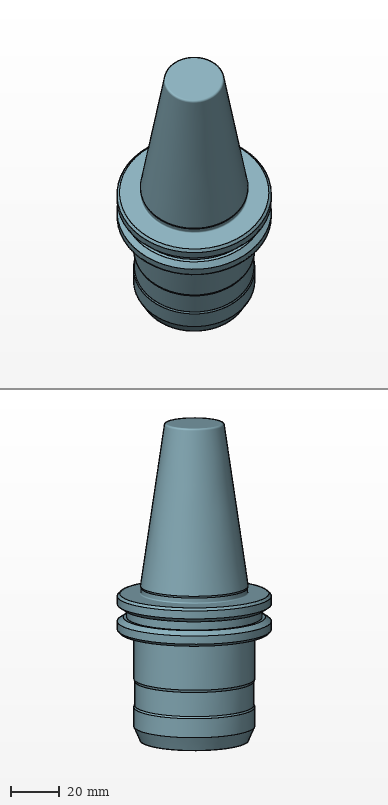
import cadquery as cq


total_height = 132.9
gauge_height = 64.7
gauge_radius = 22.2
taper_ratio = 7 / 24
tip_fillet = 0.9

neck_radius = 21.9
neck_top = 63.9

flange_radius = 31.8
flange_bottom = 45.5
flange_top = 61.5
flange_chamfer = 1.0
flange_corner_fillet = 0.5

groove_center = 53.5
groove_mouth_width = 7.2
groove_inner_width = 3.7
groove_inner_radius = 29.2
groove_floor_radius = 27.9

body_radius = 25.0
nose_radius = 22.3
nose_height = 6.0

relief_radius = 24.6
relief_start = 14.0
relief_floor_start = 14.8
relief_floor_end = 24.9
relief_end = 25.9


def revolve_profile(points):
    """Revolve a closed outline of (radius, height) points about Z."""
    return cq.Workplane("XZ").polyline(points).close().revolve(360, (0, 0, 0), (0, 1, 0))


def make_body():
    """Cylindrical body with a tapered nose, reaching up into the flange."""
    return revolve_profile([
        (0, 0),
        (nose_radius, 0),
        (body_radius, nose_height),
        (body_radius, relief_start),
        (relief_radius, relief_floor_start),
        (relief_radius, relief_floor_end),
        (body_radius, relief_end),
        (body_radius, groove_center),
        (0, groove_center),
    ])


def make_flange():
    """Chamfered disc with a gripper groove around its rim."""
    disc = (
        cq.Workplane("XY", origin=(0, 0, flange_bottom))
        .circle(flange_radius)
        .extrude(flange_top - flange_bottom)
        .edges()
        .chamfer(flange_chamfer)
    )
    half_mouth = groove_mouth_width / 2
    half_inner = groove_inner_width / 2
    groove = revolve_profile([
        (groove_floor_radius, groove_center - half_inner),
        (groove_inner_radius, groove_center - half_inner),
        (flange_radius, groove_center - half_mouth),
        (flange_radius, groove_center + half_mouth),
        (groove_inner_radius, groove_center + half_inner),
        (groove_floor_radius, groove_center + half_inner),
    ])
    return disc.cut(groove)


def make_shank():
    """Neck and taper, starting inside the flange."""
    tip_radius = gauge_radius - (total_height - gauge_height) * taper_ratio / 2
    shank = revolve_profile([
        (0, groove_center),
        (neck_radius, groove_center),
        (neck_radius, neck_top),
        (gauge_radius, gauge_height),
        (tip_radius, total_height),
        (0, total_height),
    ])
    return shank.faces(">Z").edges().fillet(tip_fillet)


def corner_circle(radius, height):
    """Selector for the circle where a cylinder of this radius meets a flange face."""
    margin = 0.1
    reach = radius + margin
    return cq.selectors.BoxSelector(
        (-reach, -reach, height - margin),
        (reach, reach, height + margin),
        boundingbox=True,
    )


holder = make_body().union(make_flange()).union(make_shank())
neck_corner = corner_circle(neck_radius, flange_top)
body_corner = corner_circle(body_radius, flange_bottom)
result = holder.edges(neck_corner + body_corner).fillet(flange_corner_fillet)